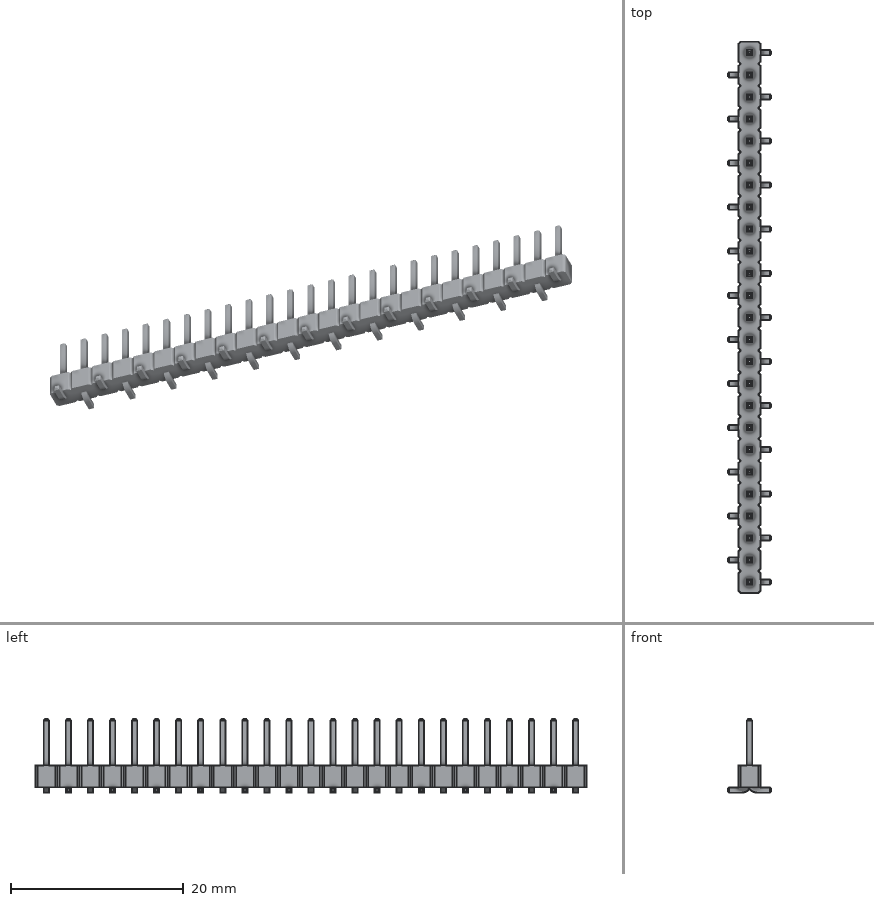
import cadquery as cq

pin_count = 25
pitch = 2.55
body_width = pitch
body_height = 2.55
corner_chamfer = 0.25

wire = 0.65
total_height = 8.5
foot_span = 5.0
bend_inner_radius = 0.65
tip_length = 0.2
tip_inset = 0.18

foot_reach = foot_span / 2
half_wire = wire / 2
body_bottom = wire
strip_length = pin_count * pitch
first_y = -(strip_length - pitch) / 2


def make_housing():
    """Strip of cells whose chamfered corners form V grooves between neighbours."""
    half_width = body_width / 2
    neck = half_width - corner_chamfer
    flank = []
    for index in range(pin_count):
        cell_start = index * pitch - strip_length / 2
        cell_end = cell_start + pitch
        flank += [
            (neck, cell_start),
            (half_width, cell_start + corner_chamfer),
            (half_width, cell_end - corner_chamfer),
        ]
    flank.append((neck, strip_length / 2))
    opposite_flank = [(-x, y) for x, y in reversed(flank)]
    return (
        cq.Workplane("XY", origin=(0, 0, body_bottom))
        .polyline(flank + opposite_flank)
        .close()
        .extrude(body_height)
    )


def make_tip(base_plane):
    """Square pyramid frustum that points the end of a wire."""
    tip_width = wire - 2 * tip_inset
    return (
        base_plane.rect(wire, wire)
        .workplane(offset=tip_length)
        .rect(tip_width, tip_width)
        .loft(ruled=True)
    )


def make_pin():
    """L-bent pin with its post on the Z axis and its foot pointing along +X."""
    post_top = total_height - tip_length
    foot_end = foot_reach - tip_length
    bend_outer_radius = bend_inner_radius + wire
    bend_center_x = half_wire + bend_inner_radius
    wire_run = (
        cq.Workplane("XZ")
        .moveTo(-half_wire, post_top)
        .lineTo(-half_wire, bend_outer_radius)
        .radiusArc((bend_center_x, 0), -bend_outer_radius)
        .lineTo(foot_end, 0)
        .lineTo(foot_end, wire)
        .lineTo(bend_center_x, wire)
        .radiusArc((half_wire, bend_outer_radius), bend_inner_radius)
        .lineTo(half_wire, post_top)
        .close()
        .extrude(half_wire, both=True)
    )
    post_tip = make_tip(cq.Workplane("XY", origin=(0, 0, post_top)))
    foot_tip = make_tip(cq.Workplane("YZ", origin=(foot_end, 0, half_wire)))
    return wire_run.union(post_tip).union(foot_tip)


pin_right = make_pin()
pin_left = pin_right.rotate((0, 0, 0), (0, 0, 1), 180)
pins = cq.Workplane("XY")
for index in range(pin_count):
    pin = pin_right if index % 2 == 0 else pin_left
    pins = pins.add(pin.translate((0, first_y + index * pitch, 0)))

result = make_housing().union(cq.Workplane(cq.Compound.makeCompound(pins.vals())))